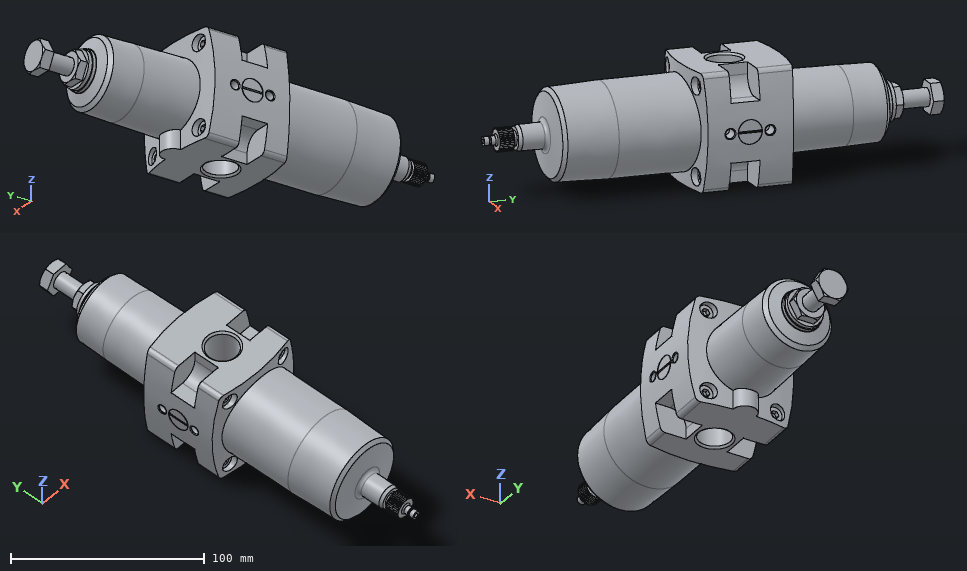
import cadquery as cq
import math


BLOCK_WIDTH = 64.0
BLOCK_HEIGHT = 64.0
BLOCK_REAR_Y = 30.3
BLOCK_FRONT_Y = -25.5
DOME_RADIUS = 120.0
SIDE_RADIUS = 112.0
CORNER_RADIUS = 3.2
HALF_WIDTH = BLOCK_WIDTH / 2
HALF_HEIGHT = BLOCK_HEIGHT / 2
BLOCK_MID_Y = (BLOCK_REAR_Y + BLOCK_FRONT_Y) / 2

SLOT_WIDTH = 16.0
SLOT_WALL_X = 12.4
SLOT_FLOOR_Z = 16.0
SLOT_RADIUS = 9.6

PORT_DIAMETER = 18.63
PORT_MOUTH_DIAMETER = 20.96
PORT_DEPTH = 22.0

GAUGE_Y = 2.2
PLUG_DIAMETER = 13.16
PLUG_RECESS = 0.3
PLUG_SLOT_WIDTH = 1.0
PLUG_SLOT_DEPTH = 1.5
PLUG_END_DIAMETER = 11.45
PLUG_LENGTH = 10.0
PLUG_FACE_X = HALF_WIDTH - PLUG_RECESS
PLUG_END_X = PLUG_FACE_X - PLUG_LENGTH
MOUNT_PITCH = 22.0
MOUNT_DIAMETER = 4.95
MOUNT_MOUTH_DIAMETER = 6.0
MOUNT_DEPTH = 8.0
DRILL_POINT_ANGLE = 118.0

LUG_RADIUS = 7.0
LUG_END_Y = 37.0
LUG_TOP_Z = -15.0

SCREW_X = 20.8
SCREW_Z = 24.3
SCREW_HEAD_DIAMETER = 8.5
SCREW_HEAD_HEIGHT = 5.0
SCREW_SOCKET_WIDTH = 4.0
SCREW_SOCKET_DEPTH = 2.5
COUNTERBORE_DIAMETER = 9.5
FRONT_HEAD_FACE_Y = -21.0
REAR_HEAD_FACE_Y = 25.8

BONNET_ROOT_RADIUS = 22.4
BONNET_JOINT_RADIUS = 21.4
BONNET_JOINT_Y = 63.2
BONNET_SHOULDER_RADIUS = 20.9
BONNET_SHOULDER_Y = 82.1
BONNET_ROUND_RADIUS = 18.6
BONNET_ROUND_Y = 84.3
BONNET_CONE_RADIUS = 12.0
BONNET_CONE_Y = 86.5
COLLAR_RADIUS = 11.6
COLLAR_Y = 88.5
COLLAR_TOP_RADIUS = 10.9
NUT_SEAT_Y = 90.7

BOLT_DIAMETER = 10.0
BOLT_ROOT_DIAMETER = 8.38
BOLT_LENGTH = 50.0
BOLT_TOP_Y = 118.05
BOLT_HEAD_HEIGHT = 6.4
HEX_WIDTH = 17.0
HEX_CORNERS = HEX_WIDTH / math.cos(math.pi / 6)
HEX_CHAMFER_ANGLE = 30.0
NUT_HEIGHT = 5.0
BOLT_HEAD_SEAT_Y = BOLT_TOP_Y - BOLT_HEAD_HEIGHT
BOLT_TIP_Y = BOLT_HEAD_SEAT_Y - BOLT_LENGTH

BOWL_ROOT_RADIUS = 26.05
BOWL_JOINT_RADIUS = 25.85
BOWL_JOINT_Y = -67.8
BOWL_SHOULDER_RADIUS = 24.9
BOWL_SHOULDER_Y = -95.8
BOWL_RIM_RADIUS = 22.8
BOWL_RIM_Y = -97.8
BOWL_CONE_RADIUS = 9.6
BOWL_CONE_Y = -99.6
NECK_RADIUS = 7.0
NECK_FILLET_END_Y = -101.6
NECK_CHAMFER_Y = -113.8
NECK_END_RADIUS = 6.3
NECK_END_Y = -115.9

STEM_RADIUS = 8.38 / 2
STEM_TOP_Y = -105.0
KNOB_RADIUS = 6.4
KNOB_REAR_Y = -117.9
KNOB_FRONT_Y = -126.1
KNURL_COUNT = 36
KNURL_DEPTH = 0.5
SPIGOT_COLLAR_RADIUS = 3.3
SPIGOT_COLLAR_Y = -127.0
SPIGOT_RADIUS = 2.5
SPIGOT_GROOVE_RADIUS = 4.13 / 2
SPIGOT_GROOVE_Y = -129.4
SPIGOT_GROOVE_WIDTH = 0.9
SPIGOT_END_Y = -133.25
DRAIN_BORE_DIAMETER = 2.5
DRAIN_BORE_DEPTH = 5.0
DRAIN_PASSAGE_DIAMETER = 1.5
DRAIN_PASSAGE_DEPTH = 12.0


def cylinder_y(diameter, start_y, end_y, x=0.0, z=0.0):
    axis = cq.Vector(0, 1 if end_y > start_y else -1, 0)
    solid = cq.Solid.makeCylinder(diameter / 2, abs(end_y - start_y), cq.Vector(x, start_y, z), axis)
    return cq.Workplane(obj=solid)


def hex_prism_y(width_across_flats, start_y, end_y, x=0.0, z=0.0):
    """Hexagonal prism along Y with two corners on its local X axis."""
    corners = width_across_flats / math.cos(math.pi / 6)
    plane = cq.Plane(origin=(x, start_y, z), xDir=(1, 0, 0), normal=(0, 1, 0))
    return cq.Workplane(plane).polygon(6, corners).extrude(end_y - start_y)


def turned_hexagon(start_y, end_y):
    """Wrench hexagon whose corners are turned off conically at the +Y end."""
    corner_radius = HEX_CORNERS / 2
    flat_radius = HEX_WIDTH / 2
    drop = (corner_radius - flat_radius) * math.tan(math.radians(HEX_CHAMFER_ANGLE))
    turned = (
        cq.Workplane("XY")
        .moveTo(0, start_y)
        .lineTo(corner_radius, start_y)
        .lineTo(corner_radius, end_y - drop)
        .lineTo(flat_radius, end_y)
        .lineTo(0, end_y)
        .close()
        .revolve(360, (0, 0), (0, 1))
    )
    return hex_prism_y(HEX_WIDTH, start_y, end_y).intersect(turned)


def corner_positions():
    return [(side_x * SCREW_X, side_z * SCREW_Z) for side_x in (-1, 1) for side_z in (-1, 1)]


def sagitta(radius, half_chord):
    return radius - math.sqrt(radius**2 - half_chord**2)


def make_block():
    corner_x = HALF_WIDTH - sagitta(SIDE_RADIUS, HALF_HEIGHT)
    edge_drop = sagitta(DOME_RADIUS, HALF_WIDTH)
    cross_section = (
        cq.Workplane("XZ", origin=(0, BLOCK_REAR_Y, 0))
        .moveTo(-corner_x, HALF_HEIGHT)
        .lineTo(corner_x, HALF_HEIGHT)
        .threePointArc((HALF_WIDTH, 0), (corner_x, -HALF_HEIGHT))
        .lineTo(-corner_x, -HALF_HEIGHT)
        .threePointArc((-HALF_WIDTH, 0), (-corner_x, HALF_HEIGHT))
        .close()
        .extrude(BLOCK_REAR_Y - BLOCK_FRONT_Y)
        .edges("|Y")
        .fillet(CORNER_RADIUS)
    )
    domed_plan = (
        cq.Workplane("XY", origin=(0, 0, -HALF_HEIGHT))
        .moveTo(-HALF_WIDTH, BLOCK_REAR_Y - edge_drop)
        .threePointArc((0, BLOCK_REAR_Y), (HALF_WIDTH, BLOCK_REAR_Y - edge_drop))
        .lineTo(HALF_WIDTH, BLOCK_FRONT_Y + edge_drop)
        .threePointArc((0, BLOCK_FRONT_Y), (-HALF_WIDTH, BLOCK_FRONT_Y + edge_drop))
        .close()
        .extrude(BLOCK_HEIGHT)
    )
    return cross_section.intersect(domed_plan)


def make_bonnet():
    return (
        cq.Workplane("XY")
        .moveTo(0, BLOCK_MID_Y)
        .lineTo(BONNET_ROOT_RADIUS, BLOCK_MID_Y)
        .lineTo(BONNET_JOINT_RADIUS, BONNET_JOINT_Y)
        .lineTo(BONNET_SHOULDER_RADIUS, BONNET_SHOULDER_Y)
        .lineTo(BONNET_ROUND_RADIUS, BONNET_ROUND_Y)
        .lineTo(BONNET_CONE_RADIUS, BONNET_CONE_Y)
        .lineTo(COLLAR_RADIUS, BONNET_CONE_Y)
        .lineTo(COLLAR_RADIUS, COLLAR_Y)
        .lineTo(COLLAR_TOP_RADIUS, COLLAR_Y)
        .lineTo(COLLAR_TOP_RADIUS, NUT_SEAT_Y)
        .lineTo(0, NUT_SEAT_Y)
        .close()
        .revolve(360, (0, 0), (0, 1))
    )


def make_bowl():
    blend = NECK_RADIUS + (BOWL_CONE_RADIUS - NECK_RADIUS) * (1 - math.sqrt(0.5))
    blend_y = NECK_FILLET_END_Y + (BOWL_CONE_Y - NECK_FILLET_END_Y) * math.sqrt(0.5)
    return (
        cq.Workplane("XY")
        .moveTo(0, BLOCK_MID_Y)
        .lineTo(BOWL_ROOT_RADIUS, BLOCK_MID_Y)
        .lineTo(BOWL_JOINT_RADIUS, BOWL_JOINT_Y)
        .lineTo(BOWL_SHOULDER_RADIUS, BOWL_SHOULDER_Y)
        .lineTo(BOWL_RIM_RADIUS, BOWL_RIM_Y)
        .lineTo(BOWL_CONE_RADIUS, BOWL_CONE_Y)
        .threePointArc((blend, blend_y), (NECK_RADIUS, NECK_FILLET_END_Y))
        .lineTo(NECK_RADIUS, NECK_CHAMFER_Y)
        .lineTo(NECK_END_RADIUS, NECK_END_Y)
        .lineTo(0, NECK_END_Y)
        .close()
        .revolve(360, (0, 0), (0, 1))
    )


def make_knob():
    """Drain knob with V grooves along its rim."""
    groove_angle = 2 * math.pi / KNURL_COUNT
    root_radius = KNOB_RADIUS - KNURL_DEPTH
    rim = []
    for index in range(KNURL_COUNT):
        crest = index * groove_angle
        root = crest + groove_angle / 2
        rim.append((KNOB_RADIUS * math.cos(crest), KNOB_RADIUS * math.sin(crest)))
        rim.append((root_radius * math.cos(root), root_radius * math.sin(root)))
    knob = cq.Workplane("XZ", origin=(0, KNOB_REAR_Y, 0)).polyline(rim).close()
    return knob.extrude(KNOB_REAR_Y - KNOB_FRONT_Y)


def make_drain():
    stem = cylinder_y(2 * STEM_RADIUS, STEM_TOP_Y, KNOB_FRONT_Y)
    spigot = (
        cq.Workplane("XY")
        .moveTo(0, KNOB_FRONT_Y)
        .lineTo(SPIGOT_COLLAR_RADIUS, KNOB_FRONT_Y)
        .lineTo(SPIGOT_RADIUS, SPIGOT_COLLAR_Y)
        .lineTo(SPIGOT_RADIUS, SPIGOT_GROOVE_Y)
        .lineTo(SPIGOT_GROOVE_RADIUS, SPIGOT_GROOVE_Y)
        .lineTo(SPIGOT_GROOVE_RADIUS, SPIGOT_GROOVE_Y - SPIGOT_GROOVE_WIDTH)
        .lineTo(SPIGOT_RADIUS, SPIGOT_GROOVE_Y - SPIGOT_GROOVE_WIDTH)
        .lineTo(SPIGOT_RADIUS, SPIGOT_END_Y)
        .lineTo(0, SPIGOT_END_Y)
        .close()
        .revolve(360, (0, 0), (0, 1))
    )
    bore = cylinder_y(DRAIN_BORE_DIAMETER, SPIGOT_END_Y, SPIGOT_END_Y + DRAIN_BORE_DEPTH)
    passage = cylinder_y(DRAIN_PASSAGE_DIAMETER, SPIGOT_END_Y, SPIGOT_END_Y + DRAIN_PASSAGE_DEPTH)
    return stem.union(make_knob()).union(spigot).cut(bore).cut(passage)


def make_lug():
    return (
        cq.Workplane("XY", origin=(0, LUG_END_Y - LUG_RADIUS, -HALF_HEIGHT))
        .circle(LUG_RADIUS)
        .extrude(LUG_TOP_Z + HALF_HEIGHT)
    )


def slot_cutter():
    """Slot at the +X +Z corner: flat floor, concave quarter round, upright wall."""
    round_end_x = SLOT_WALL_X + SLOT_RADIUS
    round_end_z = SLOT_FLOOR_Z + SLOT_RADIUS
    inset = SLOT_RADIUS * (1 - math.sqrt(0.5))
    return (
        cq.Workplane("XZ", origin=(0, SLOT_WIDTH / 2, 0))
        .moveTo(SLOT_WALL_X, HALF_HEIGHT)
        .lineTo(SLOT_WALL_X, round_end_z)
        .threePointArc((SLOT_WALL_X + inset, SLOT_FLOOR_Z + inset), (round_end_x, SLOT_FLOOR_Z))
        .lineTo(HALF_WIDTH, SLOT_FLOOR_Z)
        .lineTo(HALF_WIDTH, HALF_HEIGHT)
        .close()
        .extrude(SLOT_WIDTH)
    )


def port_cutter():
    """Port in the +Z face with a 45 degree mouth."""
    mouth_depth = (PORT_MOUTH_DIAMETER - PORT_DIAMETER) / 2
    return (
        cq.Workplane("XZ")
        .moveTo(0, HALF_HEIGHT)
        .lineTo(PORT_MOUTH_DIAMETER / 2, HALF_HEIGHT)
        .lineTo(PORT_DIAMETER / 2, HALF_HEIGHT - mouth_depth)
        .lineTo(PORT_DIAMETER / 2, HALF_HEIGHT - PORT_DEPTH)
        .lineTo(0, HALF_HEIGHT - PORT_DEPTH)
        .close()
        .revolve(360, (0, 0), (0, 1))
    )


def gauge_cutter():
    """Plug bore and the two mounting holes beside it, in the -X face."""
    plug_bore = cq.Workplane("YZ", origin=(-HALF_WIDTH, GAUGE_Y, 0)).circle(PLUG_DIAMETER / 2)
    cutter = plug_bore.extrude(HALF_WIDTH - PLUG_END_X)
    mouth_depth = (MOUNT_MOUTH_DIAMETER - MOUNT_DIAMETER) / 2
    point_height = MOUNT_DIAMETER / 2 / math.tan(math.radians(DRILL_POINT_ANGLE / 2))
    hole = (
        cq.Workplane("XY")
        .moveTo(-HALF_WIDTH, 0)
        .lineTo(-HALF_WIDTH, MOUNT_MOUTH_DIAMETER / 2)
        .lineTo(-HALF_WIDTH + mouth_depth, MOUNT_DIAMETER / 2)
        .lineTo(-HALF_WIDTH + MOUNT_DEPTH, MOUNT_DIAMETER / 2)
        .lineTo(-HALF_WIDTH + MOUNT_DEPTH + point_height, 0)
        .close()
        .revolve(360, (0, 0), (1, 0))
    )
    for offset in (-MOUNT_PITCH / 2, MOUNT_PITCH / 2):
        cutter = cutter.union(hole.translate((0, GAUGE_Y + offset, 0)))
    return cutter


def sunk_head_cutter(x, z, face_y, outward):
    """Ring gap, cover depth and hex socket of one screw head; outward is -1 at the front, 1 at the rear."""
    dome_y = BLOCK_REAR_Y if outward > 0 else BLOCK_FRONT_Y
    seat_y = face_y - outward * SCREW_HEAD_HEIGHT
    socket_y = face_y - outward * SCREW_SOCKET_DEPTH
    counterbore = cylinder_y(COUNTERBORE_DIAMETER, seat_y, dome_y, x, z)
    head = cylinder_y(SCREW_HEAD_DIAMETER, seat_y, face_y, x, z)
    socket = hex_prism_y(SCREW_SOCKET_WIDTH, socket_y, face_y, x, z)
    return counterbore.cut(head).union(socket)


def make_bolt():
    head = turned_hexagon(BOLT_HEAD_SEAT_Y, BOLT_TOP_Y)
    shank = cylinder_y(BOLT_DIAMETER, BOLT_HEAD_SEAT_Y, BOLT_TIP_Y)
    shank = shank.faces("<Y").chamfer((BOLT_DIAMETER - BOLT_ROOT_DIAMETER) / 2)
    return head.union(shank)


def make_lock_nut():
    nut = turned_hexagon(NUT_SEAT_Y, NUT_SEAT_Y + NUT_HEIGHT)
    return nut.cut(cylinder_y(BOLT_DIAMETER, NUT_SEAT_Y, NUT_SEAT_Y + NUT_HEIGHT))


def make_gauge_plug(side):
    """Slotted plug; side is -1 for the -X face and 1 for the +X face."""
    face = cq.Workplane("YZ", origin=(-PLUG_FACE_X, GAUGE_Y, 0))
    plug = face.circle(PLUG_DIAMETER / 2).extrude(PLUG_LENGTH)
    plug = plug.faces(">X").chamfer((PLUG_DIAMETER - PLUG_END_DIAMETER) / 2)
    plug = plug.cut(face.rect(PLUG_DIAMETER, PLUG_SLOT_WIDTH).extrude(PLUG_SLOT_DEPTH))
    return plug if side < 0 else plug.mirror("YZ")


def make_housing():
    housing = make_block().union(make_bonnet()).union(make_bowl()).union(make_lug())
    slot = slot_cutter()
    for cutter in (slot, slot.mirror("YZ")):
        housing = housing.cut(cutter).cut(cutter.mirror("XY"))
    port = port_cutter()
    gauge = gauge_cutter()
    housing = housing.cut(port).cut(port.mirror("XY"))
    housing = housing.cut(gauge).cut(gauge.mirror("YZ"))
    for x, z in corner_positions():
        housing = housing.cut(sunk_head_cutter(x, z, REAR_HEAD_FACE_Y, 1))
        housing = housing.cut(sunk_head_cutter(x, z, FRONT_HEAD_FACE_Y, -1))
    housing = housing.cut(cylinder_y(2 * STEM_RADIUS, STEM_TOP_Y, NECK_END_Y))
    return housing.cut(cylinder_y(BOLT_DIAMETER, BOLT_TIP_Y, BOLT_HEAD_SEAT_Y))


housing = make_housing()
adjusting_bolt = make_bolt()
lock_nut = make_lock_nut()
drain_valve = make_drain()
gauge_plugs = [make_gauge_plug(side) for side in (-1, 1)]

result = cq.Compound.makeCompound(
    [
        housing.val(),
        adjusting_bolt.val(),
        lock_nut.val(),
        drain_valve.val(),
        *[plug.val() for plug in gauge_plugs],
    ]
)